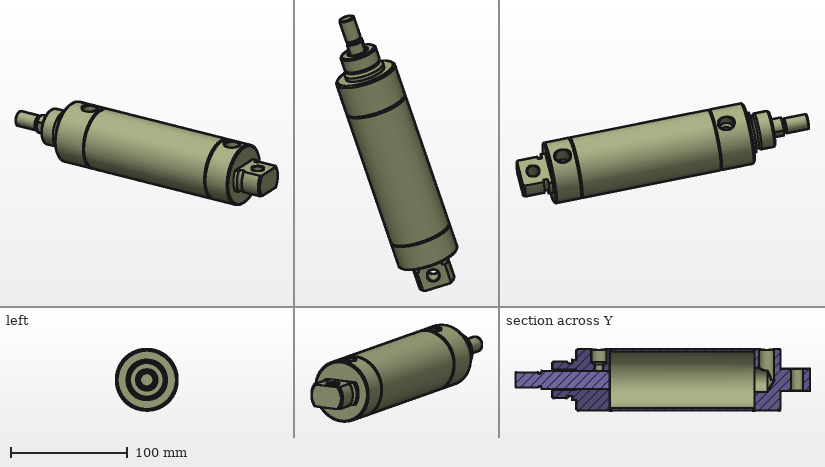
import cadquery as cq
import math

total_length = 252.5

barrel_radius = 26.5
bore_radius = 24.0
front_cap_start = 52.0
front_cap_end = 81.0
rear_cap_start = 204.7
rear_cap_end = 227.2
tube_chamfer = 1.3
front_cap_chamfer = 1.5
rear_cap_chamfer = 1.0

collar_radius = 34.5 / 2
neck_radius = 31.5 / 2
neck_chamfer = 1.3
relief_radius = 14.1
front_neck_start = 31.5
front_relief_start = 44.0
front_collar_start = 48.7
front_relief_taper = 2.0
relief_fillet = 1.0
rear_collar_end = 230.7
rear_relief_end = 234.5

rod_radius = 16.0 / 2
rod_thread_radius = 6.5
rod_thread_chamfer = 0.8
rod_neck_start = 19.5
rod_neck_bottom = 20.7
rod_neck_end = 22.2
rod_neck_radius = 5.3
rod_flat_half_width = rod_thread_radius
bushing_radius = 9.0

port_radius = 6.3
port_chamfer = 1.0
front_port_x = 71.5
rear_port_x = 215.0
front_port_cone_top = 15.1
passage_radius = 3.3
drill_half_angle = math.radians(59)
air_bore_radius = 10.0
air_bore_end = 215.8

tongue_half_height = 9.5
tongue_hole_radius = 5.0
tongue_hole_chamfer = 0.5
tongue_hole_x = 241.0


def cylinder(start, end, radius):
    """Solid cylinder on the X axis."""
    return cq.Workplane("YZ", origin=(start, 0, 0)).circle(radius).extrude(end - start)


def revolve_on_x(profile):
    """Turn a closed XY profile about the X axis."""
    return profile.close().revolve(360, (0, 0, 0), (1, 0, 0))


def vertical_bore(x, wall_profile):
    """Round cutter on a vertical axis at x, from (radius, height) points."""
    points = [(0, wall_profile[0][1]), *wall_profile, (0, wall_profile[-1][1])]
    profile = cq.Workplane("XZ").polyline(points).close()
    return profile.revolve(360, (0, 0, 0), (0, 1, 0)).translate((x, 0, 0))


def port_mouth():
    """(radius, height) points of the countersunk opening at the top of a port."""
    return [
        (port_radius + port_chamfer, barrel_radius),
        (port_radius, barrel_radius - port_chamfer),
    ]


def make_rod():
    profile = cq.Workplane("XY").polyline([
        (0, 0),
        (0, rod_thread_radius - rod_thread_chamfer),
        (rod_thread_chamfer, rod_thread_radius),
        (rod_neck_start, rod_thread_radius),
        (rod_neck_bottom, rod_neck_radius),
        (rod_neck_end, rod_thread_radius),
        (rod_neck_end, rod_radius),
        (front_cap_end, rod_radius),
        (front_cap_end, 0),
    ])
    rod = revolve_on_x(profile)
    flat_length = front_neck_start - rod_neck_end
    flat_depth = rod_radius - rod_flat_half_width
    for side in (-1, 1):
        flat = cq.Workplane("XY").box(flat_length, flat_depth, 2 * rod_radius).translate((
            rod_neck_end + flat_length / 2,
            side * (rod_flat_half_width + flat_depth / 2),
            0,
        ))
        rod = rod.cut(flat)
    return rod


def make_bushing():
    sleeve = cylinder(front_neck_start, front_cap_start, bushing_radius)
    return sleeve.cut(cylinder(front_neck_start, front_cap_start, rod_radius))


def make_front_cap():
    profile = (
        cq.Workplane("XY")
        .moveTo(front_neck_start, 0)
        .lineTo(front_neck_start, neck_radius - neck_chamfer)
        .lineTo(front_neck_start + neck_chamfer, neck_radius)
        .lineTo(front_relief_start, neck_radius)
        .lineTo(front_relief_start + front_relief_taper, relief_radius)
        .lineTo(front_collar_start - relief_fillet, relief_radius)
        .tangentArcPoint((front_collar_start, relief_radius + relief_fillet), relative=False)
        .lineTo(front_collar_start, collar_radius)
        .lineTo(front_cap_start, collar_radius)
        .lineTo(front_cap_start, barrel_radius - front_cap_chamfer)
        .lineTo(front_cap_start + front_cap_chamfer, barrel_radius)
        .lineTo(front_cap_end, barrel_radius)
        .lineTo(front_cap_end, 0)
    )
    cap = revolve_on_x(profile)
    cap = cap.cut(cylinder(front_neck_start, front_cap_end, rod_radius))
    cap = cap.cut(cylinder(front_neck_start, front_cap_start, bushing_radius))

    cone_depth = (port_radius - passage_radius) / math.tan(drill_half_angle)
    port = vertical_bore(front_port_x, port_mouth() + [
        (port_radius, front_port_cone_top),
        (passage_radius, front_port_cone_top - cone_depth),
        (passage_radius, 0),
    ])
    return cap.cut(port)


def make_tube():
    tube = cylinder(front_cap_end, rear_cap_start, barrel_radius)
    tube = tube.faces("<X or >X").chamfer(tube_chamfer)
    return tube.cut(cylinder(front_cap_end, rear_cap_start, bore_radius))


def make_rear_cap():
    head = cylinder(rear_cap_start, rear_cap_end, barrel_radius)
    head = head.faces(">X").chamfer(rear_cap_chamfer)
    head = head.cut(make_air_bore())
    port = vertical_bore(rear_port_x, port_mouth() + [(port_radius, 0)])
    return head.cut(port).union(make_tongue())


def make_air_bore():
    """Blind bore with a drill-cone end, open to the inside of the tube."""
    cone_length = air_bore_radius / math.tan(drill_half_angle)
    profile = cq.Workplane("XY").polyline([
        (rear_cap_start, 0),
        (rear_cap_start, air_bore_radius),
        (air_bore_end, air_bore_radius),
        (air_bore_end + cone_length, 0),
    ])
    return revolve_on_x(profile)


def make_tongue():
    """Turned collar, relief groove and neck, flattened above and below, with a pin hole."""
    profile = (
        cq.Workplane("XY")
        .moveTo(rear_cap_end, 0)
        .lineTo(rear_cap_end, collar_radius)
        .lineTo(rear_collar_end, collar_radius)
        .lineTo(rear_collar_end, relief_radius + relief_fillet)
        .tangentArcPoint((rear_collar_end + relief_fillet, relief_radius), relative=False)
        .lineTo(rear_relief_end - relief_fillet, relief_radius)
        .tangentArcPoint((rear_relief_end, relief_radius + relief_fillet), relative=False)
        .lineTo(rear_relief_end, neck_radius)
        .lineTo(total_length - neck_chamfer, neck_radius)
        .lineTo(total_length, neck_radius - neck_chamfer)
        .lineTo(total_length, 0)
    )
    length = total_length - rear_cap_end
    slab = (
        cq.Workplane("XY")
        .box(length, 2 * collar_radius, 2 * tongue_half_height)
        .translate((rear_cap_end + length / 2, 0, 0))
    )
    tongue = revolve_on_x(profile).intersect(slab)

    rim_radius = tongue_hole_radius + tongue_hole_chamfer
    rim_depth = tongue_half_height - tongue_hole_chamfer
    return tongue.cut(vertical_bore(tongue_hole_x, [
        (rim_radius, tongue_half_height),
        (tongue_hole_radius, rim_depth),
        (tongue_hole_radius, -rim_depth),
        (rim_radius, -tongue_half_height),
    ]))


rod = make_rod()
bushing = make_bushing()
front_cap = make_front_cap()
tube = make_tube()
rear_cap = make_rear_cap()

result = cq.Compound.makeCompound([
    rod.solids().val(),
    bushing.solids().val(),
    front_cap.solids().val(),
    tube.solids().val(),
    rear_cap.solids().val(),
])